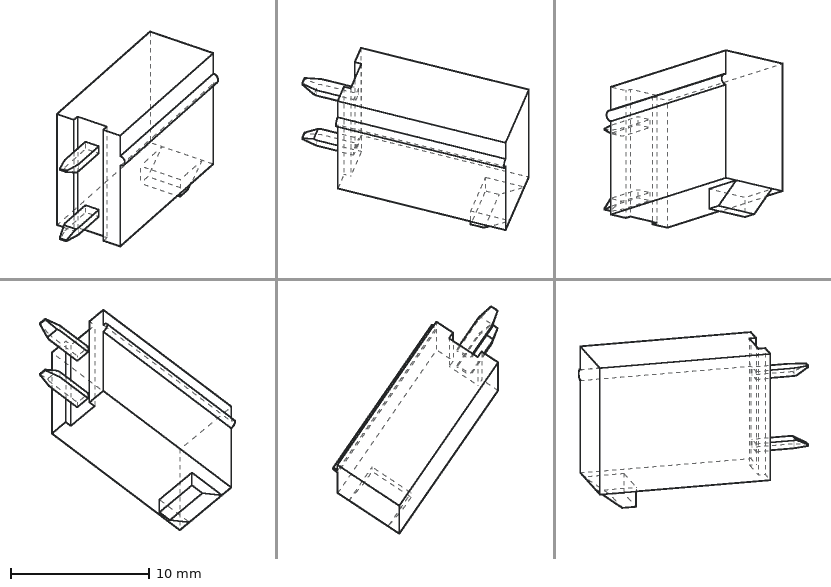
import cadquery as cq

body_width = 5.4
body_depth = 12.8
body_height = 9.6
center_x = body_width / 2

groove_width = 2.5
groove_depth = 0.5

rib_radius = 0.4
rib_z = body_height - 2.18

foot_width = 3.4
foot_length = 3.0
foot_height = 1.5
foot_slope_length = 1.95
foot_left = 1.01

pin_reach = 3.5
pin_width = 1.14
pin_thickness = 0.6
pin_spacing = 5.5
lower_pin_z = 1.56
tip_width = 0.57
tip_thickness = 0.1
side_taper_length = 1.19
face_taper_length = 0.96


def make_box(width, depth, height):
    return cq.Workplane("XY").box(width, depth, height, centered=(True, False, False))


def make_housing():
    housing = make_box(body_width, body_depth, body_height).translate((center_x, 0, 0))
    groove = make_box(groove_width, groove_depth, body_height).translate((center_x, 0, 0))
    return housing.cut(groove)


def make_rib():
    return (
        cq.Workplane("XZ")
        .center(body_width, rib_z)
        .circle(rib_radius)
        .extrude(-body_depth)
    )


def make_foot():
    profile = [
        (body_depth, 0),
        (body_depth - foot_slope_length, -foot_height),
        (body_depth - foot_length, -foot_height),
        (body_depth - foot_length, 0),
    ]
    return cq.Workplane("YZ", origin=(foot_left, 0, 0)).polyline(profile).close().extrude(foot_width)


def make_pin():
    """Lower pin: flat underside at Z = 0, with its upper face sloping down to the tip."""
    plan = [
        (-pin_width / 2, groove_depth),
        (-pin_width / 2, side_taper_length - pin_reach),
        (-tip_width / 2, -pin_reach),
        (tip_width / 2, -pin_reach),
        (pin_width / 2, side_taper_length - pin_reach),
        (pin_width / 2, groove_depth),
    ]
    side = [
        (groove_depth, 0),
        (-pin_reach, 0),
        (-pin_reach, tip_thickness),
        (face_taper_length - pin_reach, pin_thickness),
        (groove_depth, pin_thickness),
    ]
    plan_solid = cq.Workplane("XY").polyline(plan).close().extrude(pin_thickness)
    side_solid = cq.Workplane("YZ").polyline(side).close().extrude(pin_width / 2, both=True)
    return plan_solid.intersect(side_solid)


lower_pin = make_pin().translate((center_x, 0, lower_pin_z))
pin_mirror_z = lower_pin_z + (pin_spacing + pin_thickness) / 2
upper_pin = lower_pin.mirror("XY", (0, 0, pin_mirror_z))

result = make_housing().union(make_rib()).union(make_foot()).union(lower_pin).union(upper_pin)